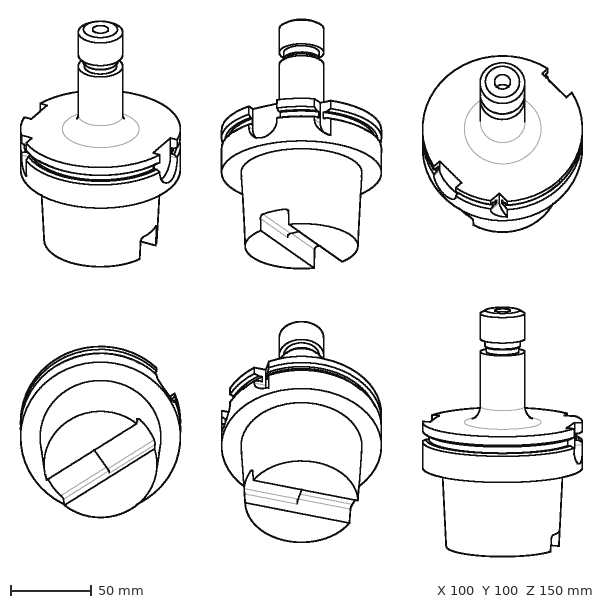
import cadquery as cq

total_height = 150.0
flange_bottom = total_height / 3
flange_top = 79.0
groove_middle = 70.0
neck_bottom = 123.8
neck_step = 126.8
head_bottom = 131.8

shank_top_radius = 37.8
shank_taper = 0.05
shank_bottom_radius = shank_top_radius - shank_taper * flange_bottom

flange_radius = total_height / 3
groove_radius = 46.0
groove_half_width = 2.1
groove_chamfer_width = 2.2
groove_chamfer_height = 1.4

post_radius = 14.0
post_fillet = 10.0
neck_radius = 11.1
undercut_radius = 10.2
neck_chamfer = 0.8
head_chamfer_height = 2.0
head_top_radius = 10.6
bore_radius = 5.0
bore_depth = 15.0

slot_depth = 24.0
slot_floor_x = 44.0
left_slot_radius = 10.0
right_slot_radius = 11.1
corner_slot_wall_x = -31.5
corner_slot_wall_y = -31.4

notch_width = 2 * left_slot_radius
left_notch_height = 10.4
right_notch_height = 15.2
notch_fillet = 2.2


def turned_body():
    """Revolve the half profile of shank, flange, post, neck and head."""
    groove_bottom = groove_middle - groove_half_width
    groove_top = groove_middle + groove_half_width
    lip_radius = flange_radius - groove_chamfer_width
    fillet_top = flange_top + post_fillet
    profile = (
        cq.Workplane("XZ")
        .lineTo(shank_bottom_radius, 0)
        .lineTo(shank_top_radius, flange_bottom)
        .lineTo(flange_radius, flange_bottom)
        .lineTo(flange_radius, groove_bottom - groove_chamfer_height)
        .lineTo(lip_radius, groove_bottom)
        .lineTo(groove_radius, groove_bottom)
        .lineTo(groove_radius, groove_top)
        .lineTo(lip_radius, groove_top)
        .lineTo(flange_radius, groove_top + groove_chamfer_height)
        .lineTo(flange_radius, flange_top)
        .lineTo(post_radius + post_fillet, flange_top)
        .radiusArc((post_radius, fillet_top), post_fillet)
        .lineTo(post_radius, neck_bottom)
        .lineTo(undercut_radius, neck_bottom)
        .lineTo(undercut_radius, neck_step)
        .lineTo(neck_radius, neck_step + neck_chamfer)
        .lineTo(neck_radius, head_bottom)
        .lineTo(post_radius, head_bottom)
        .lineTo(post_radius, total_height - head_chamfer_height)
        .lineTo(head_top_radius, total_height)
        .lineTo(0, total_height)
        .close()
    )
    return profile.revolve(360, (0, 0, 0), (0, 1, 0))


def rim_slot(radius, center_y, start_x, end_x):
    """Slot cutter along X, open at the flange top, with a full-round bottom."""
    slot_bottom = flange_top - slot_depth
    arc_center = slot_bottom + radius
    return (
        cq.Workplane("YZ", origin=(start_x, center_y, 0))
        .moveTo(-radius, flange_top)
        .lineTo(-radius, arc_center)
        .threePointArc((0, slot_bottom), (radius, arc_center))
        .lineTo(radius, flange_top)
        .close()
        .extrude(end_x - start_x)
    )


def drive_notch(height, direction):
    """Notch cutter from the axis outward; direction is -1 or +1 along X."""
    return (
        cq.Workplane("XY")
        .box(flange_radius, notch_width, height, centered=(True, True, False))
        .edges("|X and >Z")
        .fillet(notch_fillet)
        .translate((direction * flange_radius / 2, 0, 0))
    )


bore = (
    cq.Workplane("XY", origin=(0, 0, total_height - bore_depth))
    .circle(bore_radius)
    .extrude(bore_depth)
)
corner_slot_y = corner_slot_wall_y - left_slot_radius

result = (
    turned_body()
    .cut(bore)
    .cut(rim_slot(left_slot_radius, 0, -flange_radius, -slot_floor_x))
    .cut(rim_slot(right_slot_radius, 0, slot_floor_x, flange_radius))
    .cut(rim_slot(left_slot_radius, corner_slot_y, -flange_radius, corner_slot_wall_x))
    .cut(drive_notch(left_notch_height, -1))
    .cut(drive_notch(right_notch_height, 1))
)